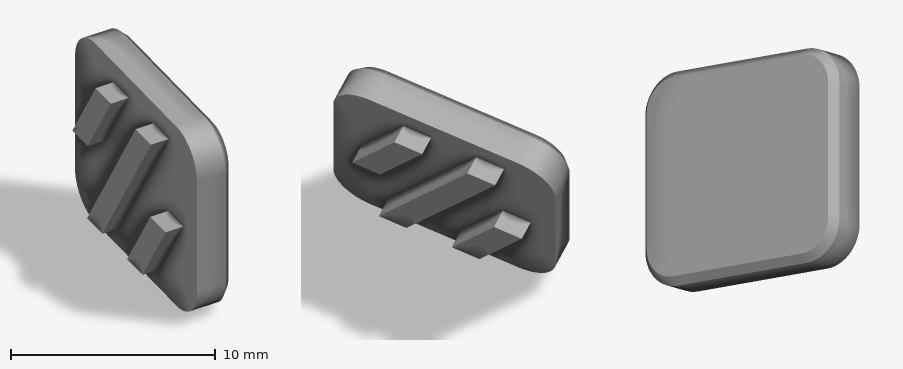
import cadquery as cq
import math

plate_width = 12.06
plate_height = 10.75
plate_thickness = 2.0
corner_radius = 2.0
back_chamfer = 0.4

bar_height = 1.0
bar_width = 1.51
bar_slant = math.radians(60)
long_bar_rise = 8.33
short_bar_rise = 3.97
pattern_center_x = 0.08
short_bar_offset_x = 2.7
short_bar_offset_z = (long_bar_rise - short_bar_rise) / 2


def make_plate():
    """Plate with rounded corners and a chamfered rear edge."""
    return (
        cq.Workplane("XZ")
        .rect(plate_width, plate_height)
        .extrude(-plate_thickness)
        .edges("|Y")
        .fillet(corner_radius)
        .faces(">Y")
        .edges()
        .chamfer(back_chamfer)
    )


def make_bar(center_x, center_z, rise):
    """Parallelogram bar with level ends, leaning toward +X."""
    half_rise = rise / 2
    half_lean = half_rise / math.tan(bar_slant)
    half_width = bar_width / 2
    return (
        cq.Workplane("XZ")
        .center(center_x, center_z)
        .polyline([
            (-half_lean - half_width, -half_rise),
            (-half_lean + half_width, -half_rise),
            (half_lean + half_width, half_rise),
            (half_lean - half_width, half_rise),
        ])
        .close()
        .extrude(bar_height)
    )


result = make_plate().union(make_bar(pattern_center_x, 0, long_bar_rise))
for side in (-1, 1):
    short_bar = make_bar(
        pattern_center_x + side * short_bar_offset_x,
        -side * short_bar_offset_z,
        short_bar_rise,
    )
    result = result.union(short_bar)